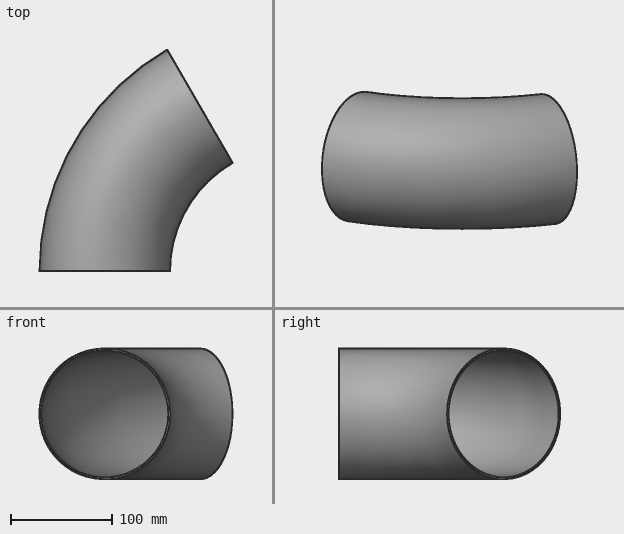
import cadquery as cq

outer_diameter = 129.0
wall_thickness = 2.0
bend_radius = 187.5
bend_angle = 60.0

outer_radius = outer_diameter / 2
inner_radius = outer_radius - wall_thickness


def make_elbow():
    """Ring section at the origin, facing -Y, revolved clockwise about a Z axis at X = bend_radius."""
    ring = cq.Workplane("XZ").circle(outer_radius).circle(inner_radius)
    axis_start = (bend_radius, 0)
    axis_end = (bend_radius, -1)
    return ring.revolve(bend_angle, axis_start, axis_end)


result = make_elbow()